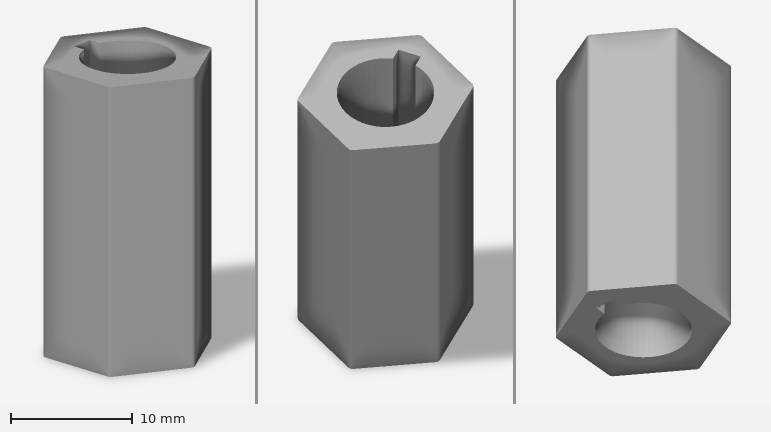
import cadquery as cq
import math

LENGTH = 25.4
ACROSS_FLATS = 12.7
CORNER_RADIUS = 0.43
BORE_DIAMETER = 8.0
KEYWAY_WIDTH = 2.0
KEYWAY_REACH = 5.0


def hexagonal_body():
    """Hexagonal prism with corners on the X axis and rounded long edges."""
    across_corners = ACROSS_FLATS / math.cos(math.radians(30))
    prism = cq.Workplane("XY").polygon(6, across_corners).extrude(LENGTH)
    return prism.edges("|Z").fillet(CORNER_RADIUS)


def keyed_bore():
    """Through bore joined with the rectangular keyway on its -X side."""
    bore = cq.Workplane("XY").circle(BORE_DIAMETER / 2).extrude(LENGTH)
    keyway = (
        cq.Workplane("XY")
        .center(-KEYWAY_REACH / 2, 0)
        .rect(KEYWAY_REACH, KEYWAY_WIDTH)
        .extrude(LENGTH)
    )
    return bore.union(keyway)


result = hexagonal_body().cut(keyed_bore())